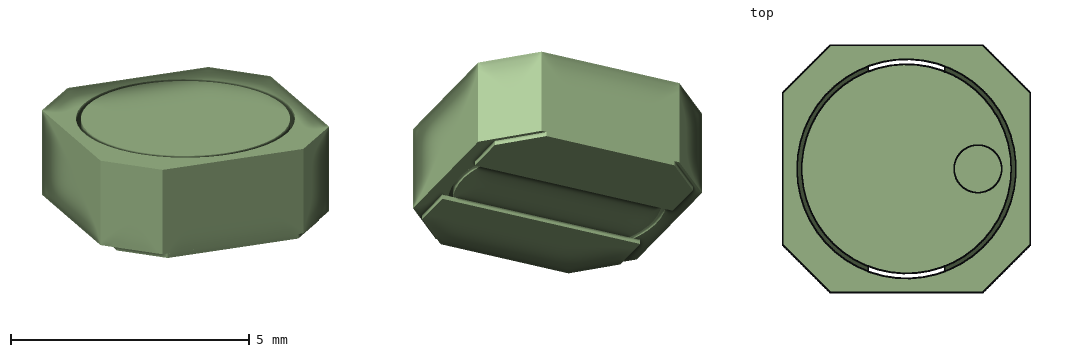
import cadquery as cq

body_width = 5.2
total_height = 2.0
body_corner_chamfer = 1.0

terminal_thickness = 0.1
terminal_gap = 1.6
terminal_length_y = 4.6
terminal_corner_chamfer = 0.815

bore_diameter = 4.6
core_clearance = 0.1
core_diameter = bore_diameter - 2 * core_clearance

marker_diameter = 1.0
marker_depth = 0.1
marker_offset_x = 1.5

body_height = total_height - terminal_thickness
terminal_width_x = (body_width - terminal_gap) / 2
terminal_center_x = (terminal_gap + terminal_width_x) / 2


def make_shell():
    """Octagonal outer shell with a round bore right through it."""
    return (
        cq.Workplane("XY", origin=(0, 0, terminal_thickness))
        .rect(body_width, body_width)
        .extrude(body_height)
        .edges("|Z")
        .chamfer(body_corner_chamfer)
        .faces(">Z")
        .workplane()
        .hole(bore_diameter)
    )


def make_marker():
    """Thin disc whose top is level with the top of the core."""
    return (
        cq.Workplane("XY", origin=(marker_offset_x, 0, total_height - marker_depth))
        .circle(marker_diameter / 2)
        .extrude(marker_depth)
    )


def make_core(marker):
    """Cylindrical core with a recess that fits the marker."""
    return (
        cq.Workplane("XY", origin=(0, 0, terminal_thickness))
        .circle(core_diameter / 2)
        .extrude(body_height)
        .cut(marker)
    )


def make_terminal(side):
    """Flat terminal on the -X (side = -1) or +X (side = 1) half, its two outer corners cut off."""
    outer_edges = "|Z and >X" if side > 0 else "|Z and <X"
    return (
        cq.Workplane("XY", origin=(side * terminal_center_x, 0, 0))
        .rect(terminal_width_x, terminal_length_y)
        .extrude(terminal_thickness)
        .edges(outer_edges)
        .chamfer(terminal_corner_chamfer)
    )


shell = make_shell()
marker = make_marker()
core = make_core(marker)
terminals = [make_terminal(side) for side in (-1, 1)]

result = cq.Compound.makeCompound(
    [shell.val(), core.val(), marker.val(), *[terminal.val() for terminal in terminals]]
)